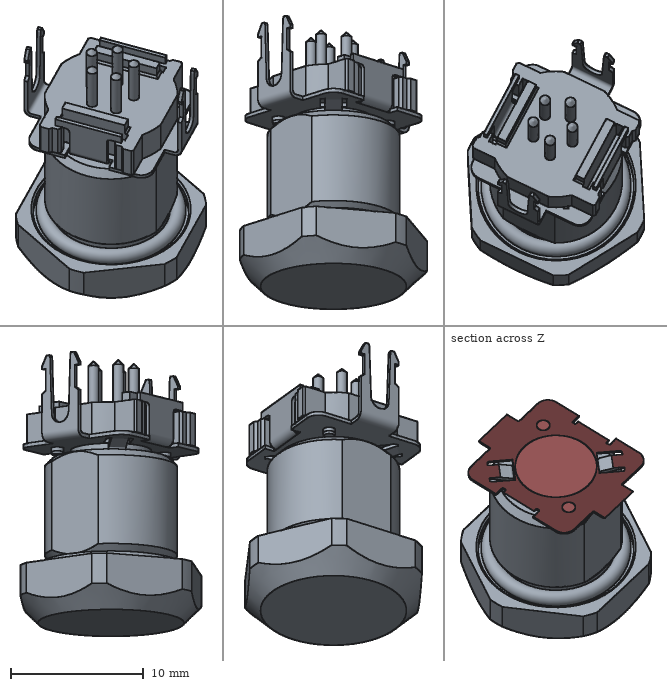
import cadquery as cq
import math


HEX_ACROSS_FLATS = 13.0
HEX_CORNER_DIAMETER = 14.39
HEX_HEIGHT = 4.0
HEX_CHAMFER_BASE_RADIUS = 5.5
BARREL_RADIUS = 5.0
BARREL_ACROSS_FLATS = 9.0
BARREL_TOP_Z = 12.5
BARREL_BOTTOM_Z = 5.15
BARREL_CHAMFER = 0.55
UNDERCUT_RADIUS = BARREL_RADIUS - BARREL_CHAMFER

RING_TUBE_RADIUS = 0.6
RING_CENTRE_RADIUS = UNDERCUT_RADIUS + RING_TUBE_RADIUS
RECESS_RADIUS = 5.87
RECESS_RIM_CHAMFER = 0.15
RECESS_DEPTH = 0.65
RECESS_FLOOR_Z = HEX_HEIGHT - RECESS_DEPTH

SHEET = 0.3
BEND_RADIUS = 2 * SHEET
CLIP_BOTTOM_Z = 13.2
CLIP_TOP_Z = CLIP_BOTTOM_Z + SHEET
CLIP_HALF_SIZE = 5.0
CLIP_CORNER_RADIUS = 1.0
ARM_FACE = 6.36
ARM_HALF_WIDTH = 1.71
ARM_TOP_Z = 19.7
ARM_SHOULDER_Z = 16.75
ARM_WAIST_HALF_WIDTH = 1.37
ARM_WAIST_BOTTOM_Z = 17.0
BARB_BOTTOM_Z = 18.68
BARB_TOP_Z = 18.9
BARB_SLOPE_TOP_Z = 19.55
ARM_TIP_OUTER = 1.28
ARM_TIP_INNER = 1.02
ARM_SLOT_TOP_HALF_WIDTH = 0.95
ARM_SLOT_TOP_Z = 19.5
ARM_SLOT_RADIUS = 0.8
ARM_SLOT_BOTTOM_Z = 14.44
LATCH_FACE = 4.77
LATCH_HALF_WIDTH = 1.5
LATCH_HEAD_HALF_WIDTH = 2.66
LATCH_HEAD_BOTTOM_Z = 16.1
LATCH_TOP_Z = 16.75
LATCH_FILLET = 0.35
RELIEF_HALF_WIDTH = 1.78
RELIEF_INNER_Y = 4.2
TONGUE_ANGLES = (45, 225)
TONGUE_HALF_WIDTH = 0.65
TONGUE_LEG_FACE = 3.5
TONGUE_HINGE = 4.95
TONGUE_DROP = 0.37
TONGUE_KNEE_RADIUS = 0.08
WINDOW_HALF_WIDTH = 1.0
WINDOW_OUTER_END = 5.1
WINDOW_CORNER_RADIUS = 0.18

BODY_TOP_Z = 16.0
BODY_HALF_X = 4.69
BODY_HALF_Y = 5.2
BODY_WAIST_RADIUS = 5.0
BODY_END_HALF_X = 3.8
BODY_CORNER_CHAMFER = 0.15
NECK_RADIUS = 3.05
END_RECESS_HALF_X = 2.8
END_RECESS_Y = 5.0
END_RECESS_CHAMFER = 0.2
SLOT_WALL_Y = 3.67
SLOT_HALF_X = 2.8
SLOT_OUTER_Y = 4.25
MOUTH_HALF_X = 2.15
BAR_HALF_X = 2.53
BAR_INNER_Y = 2.97
BAR_TOP_Z = 16.94
BAR_FLARE = 0.15
BAR_FLARE_HEIGHT = 0.17
POST_SITES = ((3.3, -2.57), (-3.3, 2.57))
POST_RADIUS = 0.47
POST_BOTTOM_Z = 12.7
POST_TIP_CHAMFER_HEIGHT = 0.2
POST_TIP_CHAMFER_WIDTH = 0.08
PIN_SITES = ((0, 1.38), (-1.7, 0.37), (1.7, 0.37), (-0.97, -1.42), (0.97, -1.42))
PIN_RADIUS = 0.4
PIN_TOP_Z = 19.85


def box(x0, x1, y0, y1, z0, z1):
    """Axis-aligned block between two opposite corners."""
    return cq.Workplane("XY").box(x1 - x0, y1 - y0, z1 - z0, centered=False).translate((x0, y0, z0))


def cylinder(radius, z0, z1, x=0, y=0):
    """Upright cylinder between two heights."""
    return cq.Workplane("XY", origin=(x, y, z0)).circle(radius).extrude(z1 - z0)


def turned(profile):
    """Solid of revolution about Z from (radius, z) points."""
    return cq.Workplane("XZ").polyline(profile).close().revolve(360, (0, 0), (0, 1))


def spun(solid, angle):
    """Copy of a solid turned about the Z axis."""
    return solid.rotate((0, 0, 0), (0, 0, 1), angle)


def mirrored_outline(half):
    """Closed (x, y) point list from its right half, listed bottom to top."""
    return half + [(-x, y) for x, y in reversed(half)]


def make_shell():
    corner_radius = HEX_CORNER_DIAMETER / 2
    cone_height = corner_radius - HEX_CHAMFER_BASE_RADIUS
    head_blank = turned([
        (0, 0),
        (HEX_CHAMFER_BASE_RADIUS, 0),
        (corner_radius, cone_height),
        (corner_radius, HEX_HEIGHT),
        (0, HEX_HEIGHT),
    ])
    hexagon = cq.Workplane("XY").polygon(6, HEX_ACROSS_FLATS, circumscribed=True).extrude(HEX_HEIGHT)
    recess = turned([
        (0, RECESS_FLOOR_Z),
        (RECESS_RADIUS, RECESS_FLOOR_Z),
        (RECESS_RADIUS, HEX_HEIGHT - RECESS_RIM_CHAMFER),
        (RECESS_RADIUS + RECESS_RIM_CHAMFER, HEX_HEIGHT),
        (0, HEX_HEIGHT),
    ])
    head = head_blank.intersect(hexagon).cut(recess)

    barrel = turned([
        (0, RECESS_FLOOR_Z),
        (UNDERCUT_RADIUS, RECESS_FLOOR_Z),
        (UNDERCUT_RADIUS, BARREL_BOTTOM_Z - BARREL_CHAMFER),
        (BARREL_RADIUS, BARREL_BOTTOM_Z),
        (BARREL_RADIUS, BARREL_TOP_Z - BARREL_CHAMFER),
        (UNDERCUT_RADIUS, BARREL_TOP_Z),
        (0, BARREL_TOP_Z),
    ])
    half_flats = BARREL_ACROSS_FLATS / 2
    flats = box(-half_flats, half_flats, -BARREL_RADIUS, BARREL_RADIUS, RECESS_FLOOR_Z, BARREL_TOP_Z)
    return head.union(barrel.intersect(flats))


def make_o_ring():
    return (
        cq.Workplane("XZ")
        .center(RING_CENTRE_RADIUS, RECESS_FLOOR_Z + RING_TUBE_RADIUS)
        .circle(RING_TUBE_RADIUS)
        .revolve(360, (-RING_CENTRE_RADIUS, 0), (-RING_CENTRE_RADIUS, 1))
    )


def bent_strip(face, inner_end, half_width, top_z):
    """Sheet strip on the +X side that lies flat, then bends up so that its outer face is at X = face."""
    bend_x = face - BEND_RADIUS
    bend_z = CLIP_BOTTOM_Z + BEND_RADIUS
    outer_mid = BEND_RADIUS * math.sqrt(0.5)
    inner_mid = (BEND_RADIUS - SHEET) * math.sqrt(0.5)
    return (
        cq.Workplane("XZ")
        .moveTo(inner_end, CLIP_BOTTOM_Z)
        .lineTo(bend_x, CLIP_BOTTOM_Z)
        .threePointArc((bend_x + outer_mid, bend_z - outer_mid), (face, bend_z))
        .lineTo(face, top_z)
        .lineTo(face - SHEET, top_z)
        .lineTo(face - SHEET, bend_z)
        .threePointArc((bend_x + inner_mid, bend_z - inner_mid), (bend_x, CLIP_TOP_Z))
        .lineTo(inner_end, CLIP_TOP_Z)
        .close()
        .extrude(half_width, both=True)
    )


def make_arm():
    """Forked solder arm with a barb on the outer edge of each prong."""
    outline = mirrored_outline([
        (ARM_HALF_WIDTH, CLIP_BOTTOM_Z),
        (ARM_HALF_WIDTH, ARM_SHOULDER_Z),
        (ARM_WAIST_HALF_WIDTH, ARM_WAIST_BOTTOM_Z),
        (ARM_WAIST_HALF_WIDTH, BARB_BOTTOM_Z),
        (ARM_HALF_WIDTH, BARB_BOTTOM_Z),
        (ARM_HALF_WIDTH, BARB_TOP_Z),
        (ARM_WAIST_HALF_WIDTH, BARB_SLOPE_TOP_Z),
        (ARM_TIP_OUTER, ARM_TOP_Z),
    ])
    blank = cq.Workplane("YZ").polyline(outline).close().extrude(ARM_FACE)
    slot_centre_z = ARM_SLOT_BOTTOM_Z + ARM_SLOT_RADIUS
    slot = (
        cq.Workplane("YZ")
        .moveTo(ARM_TIP_INNER, ARM_TOP_Z)
        .lineTo(ARM_SLOT_TOP_HALF_WIDTH, ARM_SLOT_TOP_Z)
        .lineTo(ARM_SLOT_RADIUS, slot_centre_z)
        .threePointArc((0, ARM_SLOT_BOTTOM_Z), (-ARM_SLOT_RADIUS, slot_centre_z))
        .lineTo(-ARM_SLOT_TOP_HALF_WIDTH, ARM_SLOT_TOP_Z)
        .lineTo(-ARM_TIP_INNER, ARM_TOP_Z)
        .close()
        .extrude(ARM_FACE)
    )
    inner_end = CLIP_HALF_SIZE - SHEET
    strip = bent_strip(ARM_FACE, inner_end, ARM_HALF_WIDTH, ARM_TOP_Z)
    return strip.intersect(blank.cut(slot))


def make_latch():
    """T-shaped latch plate, made on the +X side."""
    fillet_z = LATCH_HEAD_BOTTOM_Z - LATCH_FILLET
    fillet_y = LATCH_HALF_WIDTH + LATCH_FILLET
    outline = mirrored_outline([
        (LATCH_HALF_WIDTH, CLIP_BOTTOM_Z),
        (LATCH_HALF_WIDTH, LATCH_HEAD_BOTTOM_Z),
        (LATCH_HEAD_HALF_WIDTH, LATCH_HEAD_BOTTOM_Z),
        (LATCH_HEAD_HALF_WIDTH, LATCH_TOP_Z),
    ])
    blank = cq.Workplane("YZ").polyline(outline).close().extrude(LATCH_FACE)
    for side in (-1, 1):
        y0, y1 = sorted((side * LATCH_HALF_WIDTH, side * fillet_y))
        corner = box(0, LATCH_FACE, y0, y1, fillet_z, LATCH_HEAD_BOTTOM_Z)
        round_cut = (
            cq.Workplane("YZ").center(side * fillet_y, fillet_z).circle(LATCH_FILLET).extrude(LATCH_FACE)
        )
        blank = blank.union(corner.cut(round_cut))
    inner_end = LATCH_FACE - BEND_RADIUS - SHEET
    return bent_strip(LATCH_FACE, inner_end, LATCH_HEAD_HALF_WIDTH, LATCH_TOP_Z).intersect(blank)


def make_tongue():
    """Tongue on the +X side: slopes down from its outer hinge, then a leg drops to the barrel top."""
    root = WINDOW_OUTER_END + SHEET
    leg_inner = TONGUE_LEG_FACE - SHEET
    knee_z = CLIP_BOTTOM_Z - TONGUE_DROP
    return (
        cq.Workplane("XZ")
        .moveTo(root, CLIP_BOTTOM_Z)
        .lineTo(TONGUE_HINGE, CLIP_BOTTOM_Z)
        .lineTo(TONGUE_LEG_FACE + TONGUE_KNEE_RADIUS, knee_z)
        .radiusArc((TONGUE_LEG_FACE, knee_z - TONGUE_KNEE_RADIUS), -TONGUE_KNEE_RADIUS)
        .lineTo(TONGUE_LEG_FACE, BARREL_TOP_Z)
        .lineTo(leg_inner, BARREL_TOP_Z)
        .lineTo(leg_inner, knee_z)
        .radiusArc((TONGUE_LEG_FACE, knee_z + SHEET), SHEET)
        .lineTo(TONGUE_HINGE, CLIP_TOP_Z)
        .lineTo(root, CLIP_TOP_Z)
        .close()
        .extrude(TONGUE_HALF_WIDTH, both=True)
    )


def make_window():
    """Opening in the base plate around the tongue, made on the +X side and rounded at its outer end."""
    window = box(
        TONGUE_LEG_FACE - SHEET, WINDOW_OUTER_END,
        -WINDOW_HALF_WIDTH, WINDOW_HALF_WIDTH,
        CLIP_BOTTOM_Z, CLIP_TOP_Z,
    )
    return window.edges("|Z and >X").fillet(WINDOW_CORNER_RADIUS)


def make_clip():
    size = 2 * CLIP_HALF_SIZE
    clip = (
        cq.Workplane("XY", origin=(0, 0, CLIP_BOTTOM_Z))
        .rect(size, size)
        .extrude(SHEET)
        .edges("|Z")
        .fillet(CLIP_CORNER_RADIUS)
        .cut(cylinder(NECK_RADIUS, CLIP_BOTTOM_Z, CLIP_TOP_Z))
    )
    for x, y in POST_SITES:
        clip = clip.cut(cylinder(POST_RADIUS, CLIP_BOTTOM_Z, CLIP_TOP_Z, x, y))

    window = make_window()
    tongue = make_tongue()
    for angle in TONGUE_ANGLES:
        clip = clip.cut(spun(window, angle)).union(spun(tongue, angle))

    relief = box(
        RELIEF_INNER_Y, CLIP_HALF_SIZE, -RELIEF_HALF_WIDTH, RELIEF_HALF_WIDTH, CLIP_BOTTOM_Z, CLIP_TOP_Z
    )
    arm = make_arm()
    latch = make_latch()
    for angle in (0, 180):
        clip = clip.union(spun(arm, angle))
        clip = clip.cut(spun(relief, angle + 90)).union(spun(latch, angle + 90))
    return clip


def make_body_block():
    """Main block: a round waist between two rectangular ends, all trimmed flat on the X sides."""
    height = BODY_TOP_Z - CLIP_TOP_Z
    ends = (
        cq.Workplane("XY", origin=(0, 0, CLIP_TOP_Z))
        .rect(2 * BODY_END_HALF_X, 2 * BODY_HALF_Y)
        .extrude(height)
        .edges("|Z")
        .chamfer(BODY_CORNER_CHAMFER)
    )
    waist = cylinder(BODY_WAIST_RADIUS, CLIP_TOP_Z, BODY_TOP_Z)
    trim = box(-BODY_HALF_X, BODY_HALF_X, -BODY_HALF_Y, BODY_HALF_Y, CLIP_TOP_Z, BODY_TOP_Z)
    return ends.union(waist).intersect(trim)


def make_latch_pocket():
    """Through pocket on the +Y side: shallow end recess, mouth and cross slot for the latch."""
    half_profile = [
        (SLOT_HALF_X, SLOT_WALL_Y),
        (SLOT_HALF_X, SLOT_OUTER_Y),
        (MOUTH_HALF_X, SLOT_OUTER_Y),
        (MOUTH_HALF_X, END_RECESS_Y - END_RECESS_CHAMFER),
        (MOUTH_HALF_X + END_RECESS_CHAMFER, END_RECESS_Y),
        (END_RECESS_HALF_X, END_RECESS_Y),
        (END_RECESS_HALF_X + END_RECESS_CHAMFER, BODY_HALF_Y),
    ]
    return (
        cq.Workplane("XY", origin=(0, 0, CLIP_TOP_Z))
        .polyline(mirrored_outline(half_profile))
        .close()
        .extrude(BAR_TOP_Z - CLIP_TOP_Z)
    )


def make_bar():
    """Raised bar on the +Y side with a flared foot; the pocket trims its outer face."""
    bar = box(-BAR_HALF_X, BAR_HALF_X, BAR_INNER_Y, SLOT_WALL_Y, BODY_TOP_Z, BAR_TOP_Z)
    foot_x = 2 * (BAR_HALF_X + BAR_FLARE)
    foot_y = SLOT_WALL_Y - BAR_INNER_Y + 2 * BAR_FLARE
    flare_angle = math.degrees(math.atan2(BAR_FLARE, BAR_FLARE_HEIGHT))
    foot = (
        cq.Workplane("XY", origin=(0, (BAR_INNER_Y + SLOT_WALL_Y) / 2, BODY_TOP_Z))
        .rect(foot_x, foot_y)
        .extrude(BAR_FLARE_HEIGHT, taper=flare_angle)
    )
    return bar.union(foot)


def make_pin(x, y):
    """Contact pin with a conical point, standing on the main block."""
    pin = turned([
        (0, CLIP_TOP_Z),
        (PIN_RADIUS, CLIP_TOP_Z),
        (PIN_RADIUS, PIN_TOP_Z - PIN_RADIUS),
        (0, PIN_TOP_Z),
    ])
    return pin.translate((x, y, 0))


def make_post(x, y):
    """Locating post through the clip plate, with a tapered tip."""
    post = turned([
        (0, POST_BOTTOM_Z),
        (POST_RADIUS - POST_TIP_CHAMFER_WIDTH, POST_BOTTOM_Z),
        (POST_RADIUS, POST_BOTTOM_Z + POST_TIP_CHAMFER_HEIGHT),
        (POST_RADIUS, CLIP_TOP_Z),
        (0, CLIP_TOP_Z),
    ])
    return post.translate((x, y, 0))


def make_insulator():
    insulator = make_body_block().union(cylinder(NECK_RADIUS, BARREL_TOP_Z, CLIP_TOP_Z))
    bar = make_bar()
    pocket = make_latch_pocket()
    for angle in (0, 180):
        insulator = insulator.union(spun(bar, angle)).cut(spun(pocket, angle))
    for x, y in POST_SITES:
        insulator = insulator.union(make_post(x, y))
    for x, y in PIN_SITES:
        insulator = insulator.union(make_pin(x, y))
    return insulator


shell = make_shell()
o_ring = make_o_ring()
clip = make_clip()
insulator = make_insulator()

result = cq.Compound.makeCompound([body.solids().val() for body in (shell, o_ring, clip, insulator)])